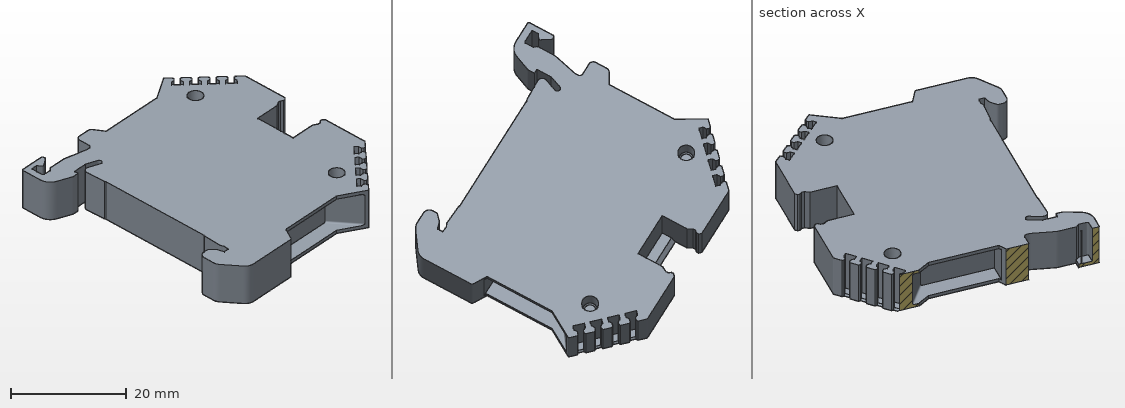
import cadquery as cq
import math


thickness = 8.1
total_depth = 10.6
height = 46.0
foot_left_x = -24.2
shoulder_x = 23.97
shoulder_y = 36.05
waist_x = 21.0
waist_top_y = 31.05
waist_bottom_y = 18.05
top_half_width = shoulder_x - (height - shoulder_y)
rail_y = 7.25

notch_half_width = 4.15
notch_lip_x = 4.3
notch_groove_x = 4.65
notch_mouth_x = 4.7
notch_lip_top_y = 45.6
notch_lip_bottom_y = 45.15
notch_groove_top_y = 44.75
notch_groove_bottom_y = 44.25
notch_wall_top_y = 43.35
notch_floor_y = 38.4
sill_edge_y = 41.05
sill_height = 0.8

left_block_x = -23.45
left_block_bottom_y = 13.05
block_top_y = 16.6
arm_top_x = -19.85
arm_straight_y = 11.85
arm_bend_y = 7.3
latch_x = -16.35
latch_top_y = 5.8
slit_left_x = -17.2
slit_top_y = 11.15
foot_lug_y = 5.25
hook_outer_x = 23.6
hook_bottom_y = 2.5
hook_tip_x = 14.95
hook_throat_x = 17.5
rail_step = 0.1

foot_pocket_left_x = -23.15
foot_pocket_right_x = -20.5
foot_pocket_bottom_y = 1.37
web_overlap = 0.15
foot_floor = 0.8
foot_pocket_top_y = 3.85

slot_count = 4
slot_pitch = 3.1
first_slot = 2.45
slot_mouth = 1.5
slot_neck = 1.05
slot_width = 2.05
slot_neck_start = 0.3
slot_neck_end = 0.75
slot_wide_start = 1.25
slot_depth = 2.0
slot_lip_depth = 0.3
slot_floor = 0.35

entry_wall = 0.7
entry_back_x = 18.0
entry_top_y = 35.35
entry_corner_y = 31.4
entry_bottom_y = 17.75
entry_fillet = 0.33
entry_mouth_x = 23.5
entry_overshoot = 1.0
entry_slope = (entry_top_y - entry_corner_y) / (entry_mouth_x - entry_back_x)

pin_x = 16.5
pin_y = 36.0
pin_radius = 1.5
pin_length = total_depth - thickness
pin_chamfer = 0.3
socket_radius = 1.45
socket_depth = 2.8
socket_cone_radius = 1.25
socket_bottom_radius = 1.0
socket_cone = 0.3


def rounded_profile(corners):
    """Closed wire through (x, y, radius) corners; each corner with a radius becomes a tangent arc."""
    path = None
    count = len(corners)
    for i, (x, y, radius) in enumerate(corners):
        corner = cq.Vector(x, y)
        before = (cq.Vector(*corners[i - 1][:2]) - corner).normalized()
        after = (cq.Vector(*corners[(i + 1) % count][:2]) - corner).normalized()
        if radius == 0:
            path = path.lineTo(x, y) if path else cq.Workplane("XY").moveTo(x, y)
            continue
        half_angle = before.getAngle(after) / 2
        bisector = (before + after).normalized()
        setback = radius / math.tan(half_angle)
        start = corner + before * setback
        middle = corner + bisector * (radius / math.sin(half_angle) - radius)
        end = corner + after * setback
        path = path.lineTo(start.x, start.y) if path else cq.Workplane("XY").moveTo(start.x, start.y)
        path = path.threePointArc((middle.x, middle.y), (end.x, end.y))
    return path.close()


def notch_side(side):
    """Corners of one side of the marker notch from the top edge down to the sill (side is -1 or 1)."""
    return [
        (side * notch_mouth_x, height, 0),
        (side * notch_lip_x, notch_lip_top_y, 0),
        (side * notch_lip_x, notch_lip_bottom_y, 0),
        (side * notch_groove_x, notch_groove_top_y, 0),
        (side * notch_groove_x, notch_groove_bottom_y, 0),
        (side * notch_half_width, notch_wall_top_y, 0),
        (side * notch_half_width, notch_floor_y, 0),
    ]


def make_plate():
    """Full-thickness plate; corners are (x, y, rounding radius), counter-clockwise from the top left."""
    left_side = [
        (-top_half_width, height, 0.3),
        (-shoulder_x, shoulder_y, 0.15),
        (-waist_x, waist_top_y, 0),
        (-waist_x, waist_bottom_y, 0),
        (left_block_x, block_top_y, 0.9),
        (left_block_x, left_block_bottom_y, 0.85),
        (arm_top_x, left_block_bottom_y, 0.6),
        (arm_top_x, arm_straight_y, 1.7),
        (-waist_x, arm_bend_y, 2.0),
    ]
    foot_pocket = [
        (-waist_x, 3.75, 0),
        (foot_pocket_right_x, 3.15, 0),
        (foot_pocket_right_x, foot_pocket_bottom_y, 0.3),
        (foot_pocket_left_x, foot_pocket_bottom_y, 0),
        (foot_pocket_left_x, 2.6, 0),
        (-22.2, 3.3, 0.2),
    ]
    spring_foot = [
        (-23.45, foot_lug_y, 0.35),
        (foot_left_x, foot_lug_y, 0.3),
        (foot_left_x, 0, 0.3),
        (-18.2, 0, 2.6),
        (latch_x, 4.5, 0.2),
        (latch_x, latch_top_y, 0),
        (slit_left_x, latch_top_y, 0),
        (slit_left_x, 8.6, 0),
        (-16.25, slit_top_y, 0.5),
        (-15.1, slit_top_y, 0.5),
        (-16.75, 6.95, 0.9),
    ]
    rail_seat = [
        (-11.4, rail_y - rail_step, 0),
        (-11.2, rail_y, 0),
        (11.7, rail_y, 0),
        (11.9, rail_y - rail_step, 0),
        (15.8, 6.95, 0.5),
        (16.4, rail_y, 0.5),
        (hook_throat_x, rail_y - rail_step, 0),
    ]
    fixed_hook = [
        (hook_throat_x, 6.1, 0),
        (16.1, 5.7, 0.6),
        (hook_tip_x, 4.6, 0.6),
        (hook_tip_x, hook_bottom_y, 1.2),
        (18.9, hook_bottom_y, 2.0),
        (hook_outer_x, 5.9, 2.0),
        (hook_outer_x, block_top_y, 0.5),
    ]
    right_side = [
        (waist_x, waist_bottom_y, 0),
        (waist_x, waist_top_y, 0),
        (shoulder_x, shoulder_y, 0.15),
        (top_half_width, height, 0.3),
    ]
    notch = notch_side(1) + notch_side(-1)[::-1]
    outline = left_side + foot_pocket + spring_foot
    outline += rail_seat + fixed_hook + right_side + notch
    return rounded_profile(outline).extrude(thickness)


def make_notch_sill():
    """Ledge across the marker notch; its front edge slopes down to the pin face."""
    section = [
        (notch_floor_y, 0),
        (sill_edge_y, 0),
        (sill_edge_y - sill_height, sill_height),
        (notch_floor_y, sill_height),
    ]
    return (
        cq.Workplane("YZ", origin=(-notch_half_width, 0, 0))
        .polyline(section)
        .close()
        .extrude(2 * notch_half_width)
    )


def make_foot_web():
    """Thin floor that closes the foot pocket on the pin face."""
    left = foot_pocket_left_x - web_overlap
    right = foot_pocket_right_x + web_overlap
    bottom = foot_pocket_bottom_y - web_overlap
    corners = [
        (-22.4, foot_pocket_top_y),
        (-waist_x + web_overlap, foot_pocket_top_y),
        (right, 3.0),
        (right, bottom),
        (left, bottom),
        (left, 2.7),
    ]
    return cq.Workplane("XY").polyline(corners).close().extrude(foot_floor)


def make_marker_slot():
    """Dovetail slot at the origin: the shoulder face is Y = 0 and the slot deepens toward -Y."""
    half_profile = [
        (slot_mouth / 2, 0),
        (slot_neck / 2, -slot_neck_start),
        (slot_neck / 2, -slot_neck_end),
        (slot_width / 2, -slot_wide_start),
        (slot_width / 2, -slot_depth),
    ]
    mirrored = [(-x, y) for x, y in reversed(half_profile)]
    slot = cq.Workplane("XY").polyline(half_profile + mirrored).close().extrude(thickness)
    lip = (
        cq.Workplane("YZ", origin=(-slot_width, 0, 0))
        .polyline([
            (-slot_lip_depth, 0),
            (-slot_lip_depth - slot_floor, slot_floor),
            (-slot_depth, slot_floor),
            (-slot_depth, 0),
        ])
        .close()
        .extrude(2 * slot_width)
    )
    return slot.cut(lip)


def make_marker_slots():
    """Row of slots along the right shoulder."""
    row = cq.Workplane("XY")
    for i in range(slot_count):
        step = (first_slot + i * slot_pitch) / math.sqrt(2)
        position = (top_half_width + step, height - step, 0)
        slot = make_marker_slot().rotate((0, 0, 0), (0, 0, 1), -45).translate(position)
        row = row.add(slot)
    return row.combine()


def make_wire_entry():
    """Pocket in the right side whose upper wall slopes inward to a flat back."""
    outer_x = shoulder_x + entry_overshoot
    outer_top_y = entry_corner_y + (outer_x - entry_back_x) * entry_slope
    profile = [
        (entry_back_x, entry_bottom_y),
        (outer_x, entry_bottom_y),
        (outer_x, outer_top_y),
        (entry_back_x, entry_corner_y),
    ]
    pocket = (
        cq.Workplane("XY", origin=(0, 0, entry_wall))
        .polyline(profile)
        .close()
        .extrude(thickness - 2 * entry_wall)
    )
    slope_edges = pocket.edges(f"|(1, {entry_slope:.6f}, 0)")
    return slope_edges.fillet(entry_fillet)


def make_pin():
    """Pin on the Z = 0 face with a chamfered tip."""
    return (
        cq.Workplane("XY", origin=(pin_x, pin_y, 0))
        .circle(pin_radius)
        .extrude(-pin_length)
        .faces("<Z")
        .chamfer(pin_chamfer)
    )


def make_socket():
    """Blind hole opposite a pin, with a conical bottom edge."""
    return (
        cq.Workplane("XZ", origin=(pin_x, pin_y, thickness))
        .polyline([
            (0, 0),
            (socket_radius, 0),
            (socket_cone_radius, socket_cone - socket_depth),
            (socket_bottom_radius, -socket_depth),
            (0, -socket_depth),
        ])
        .close()
        .revolve(360, (0, 0, 0), (0, 1, 0))
    )


def with_mirror(shape):
    """The shape together with its mirror image across X = 0."""
    return shape.union(shape.mirror("YZ"))


result = (
    make_plate()
    .union(make_notch_sill())
    .union(make_foot_web())
    .cut(with_mirror(make_marker_slots()))
    .cut(with_mirror(make_wire_entry()))
    .union(with_mirror(make_pin()))
    .cut(with_mirror(make_socket()))
)